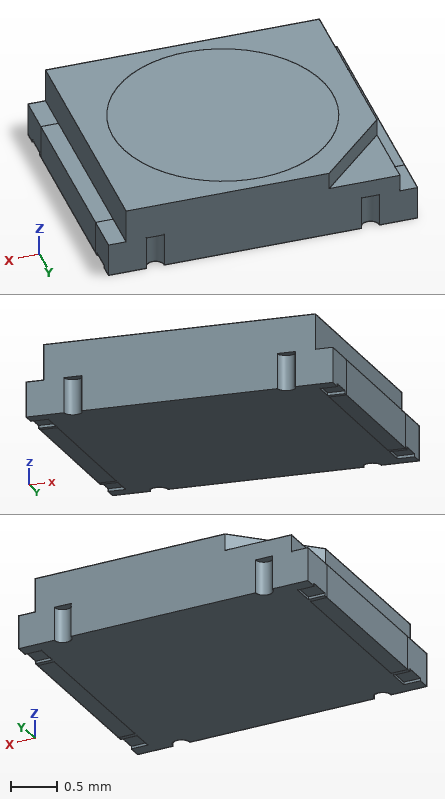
import cadquery as cq

LENGTH = 3.5
WIDTH = 2.8
HEIGHT = 0.8

LEDGE_DEPTH = 0.2
LEDGE_HEIGHT = 0.4

TERMINAL_WIDTH = 1.9

LENS_DIAMETER = 2.5
LENS_DEPTH = HEIGHT - LEDGE_HEIGHT

CORNER_LEG = 0.8
CORNER_DEPTH = 0.2

GROOVE_RADIUS = 0.1
GROOVE_X = 1.218

RECESS_WIDTH = 0.25
RECESS_HEIGHT = 0.03
RECESS_DEPTH = LEDGE_DEPTH
RECESS_EDGE_GAP = 0.15
RECESS_Y = WIDTH / 2 - RECESS_EDGE_GAP - RECESS_WIDTH / 2

SIDES = (-1, 1)
QUADRANTS = [(sx, sy) for sx in SIDES for sy in SIDES]
ON_BASE = (True, True, False)


def end_block(side, depth, width, height):
    """Block on the base plane, with its outer face flush with one X end."""
    x = side * (LENGTH - depth) / 2
    return cq.Workplane("XY").center(x, 0).box(depth, width, height, centered=ON_BASE)


def make_terminal(side):
    return end_block(side, LEDGE_DEPTH, TERMINAL_WIDTH, LEDGE_HEIGHT)


def make_lens():
    base = cq.Workplane("XY").workplane(offset=HEIGHT - LENS_DEPTH)
    return base.circle(LENS_DIAMETER / 2).extrude(LENS_DEPTH)


def stepped_block():
    """Full-size lower slab with a shorter upper block, leaving a ledge at each X end."""
    lower = cq.Workplane("XY").box(LENGTH, WIDTH, LEDGE_HEIGHT, centered=ON_BASE)
    upper = cq.Workplane("XY").box(LENGTH - 2 * LEDGE_DEPTH, WIDTH, HEIGHT, centered=ON_BASE)
    return lower.union(upper)


def corner_step():
    """Triangular cutter for the top corner at -X, +Y."""
    x = LEDGE_DEPTH - LENGTH / 2
    y = WIDTH / 2
    base = cq.Workplane("XY").workplane(offset=HEIGHT - CORNER_DEPTH)
    return base.polyline([(x, y), (x + CORNER_LEG, y), (x, y - CORNER_LEG)]).close().extrude(CORNER_DEPTH)


def side_grooves():
    """Upright cylinders centred on the Y faces, so that half of each cuts the housing."""
    centres = [(sx * GROOVE_X, sy * WIDTH / 2) for sx, sy in QUADRANTS]
    return cq.Workplane("XY").pushPoints(centres).circle(GROOVE_RADIUS).extrude(LEDGE_HEIGHT)


def underside_recess(side_x, side_y):
    block = end_block(side_x, RECESS_DEPTH, RECESS_WIDTH, RECESS_HEIGHT)
    return block.translate((0, side_y * RECESS_Y, 0))


def make_housing(lens, terminals):
    """Housing with its outer details and matching seats for the lens and terminals."""
    housing = stepped_block().cut(corner_step()).cut(side_grooves())
    for side_x, side_y in QUADRANTS:
        housing = housing.cut(underside_recess(side_x, side_y))
    housing = housing.cut(lens)
    for terminal in terminals:
        housing = housing.cut(terminal)
    return housing


lens = make_lens()
terminals = [make_terminal(side) for side in SIDES]
housing = make_housing(lens, terminals)

result = cq.Compound.makeCompound([housing.val(), lens.val(), *[terminal.val() for terminal in terminals]])